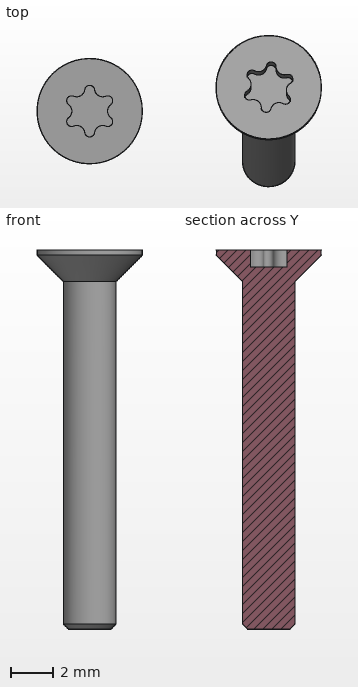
import cadquery as cq
import math

length = 18.0
head_diameter = 5.0
shank_diameter = head_diameter / 2
rim_height = 0.25
tip_chamfer = 0.25

lobe_count = 6
lobe_reach = 1.22
valley_reach = 0.85
lobe_radius = 0.23
recess_depth = 0.81

head_radius = head_diameter / 2
shank_radius = shank_diameter / 2
cone_height = head_radius - shank_radius


def polar(radius, angle):
    return (radius * math.cos(angle), radius * math.sin(angle))


def screw_body():
    rim_bottom = length - rim_height
    return (
        cq.Workplane("XZ")
        .moveTo(0, 0)
        .lineTo(shank_radius - tip_chamfer, 0)
        .lineTo(shank_radius, tip_chamfer)
        .lineTo(shank_radius, rim_bottom - cone_height)
        .lineTo(head_radius, rim_bottom)
        .lineTo(head_radius, length)
        .lineTo(0, length)
        .close()
        .revolve(360, (0, 0, 0), (0, 1, 0))
    )


def six_lobe_recess():
    half_pitch = math.pi / lobe_count
    lobe_center = lobe_reach - lobe_radius

    offset = valley_reach - lobe_radius
    valley_center = (lobe_center**2 - offset**2) / (2 * (lobe_center * math.cos(half_pitch) - offset))
    valley_radius = valley_center - valley_reach

    valley_x, valley_y = polar(valley_center, half_pitch)
    share = lobe_radius / (lobe_radius + valley_radius)
    tangent_x = lobe_center + share * (valley_x - lobe_center)
    tangent_y = share * valley_y
    tangent_reach = math.hypot(tangent_x, tangent_y)
    tangent_angle = math.atan2(tangent_y, tangent_x)

    first_lobe = math.pi / 2
    outline = cq.Workplane("XY").workplane(offset=length)
    outline = outline.moveTo(*polar(tangent_reach, first_lobe - tangent_angle))
    for i in range(lobe_count):
        lobe = first_lobe + 2 * half_pitch * i
        next_lobe = lobe + 2 * half_pitch
        outline = outline.threePointArc(
            polar(lobe_reach, lobe), polar(tangent_reach, lobe + tangent_angle)
        )
        outline = outline.threePointArc(
            polar(valley_reach, lobe + half_pitch), polar(tangent_reach, next_lobe - tangent_angle)
        )
    return outline.close().extrude(-recess_depth)


result = screw_body().cut(six_lobe_recess())